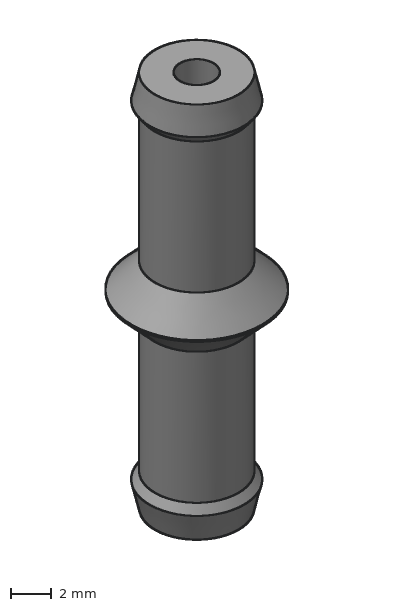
import cadquery as cq

length = 25.68
tube_diameter = 5.65
barb_diameter = 6.42
collar_diameter = 8.94
bore_diameter = 2.25

barb_lead_length = 1.67
barb_back_length = 0.51
collar_height = 3.5
collar_rim_height = 0.1

half_length = length / 2
tube_radius = tube_diameter / 2
barb_edge_z = half_length - barb_lead_length
barb_back_z = barb_edge_z - barb_back_length

upper_profile = [
    (collar_diameter / 2, collar_rim_height / 2),
    (tube_radius, collar_height / 2),
    (tube_radius, barb_back_z),
    (barb_diameter / 2, barb_edge_z),
    (tube_radius, half_length),
    (bore_diameter / 2, half_length),
]
lower_profile = [(radius, -z) for radius, z in reversed(upper_profile)]

result = (
    cq.Workplane("XZ")
    .polyline(upper_profile + lower_profile)
    .close()
    .revolve(360, (0, 0), (0, 1))
)